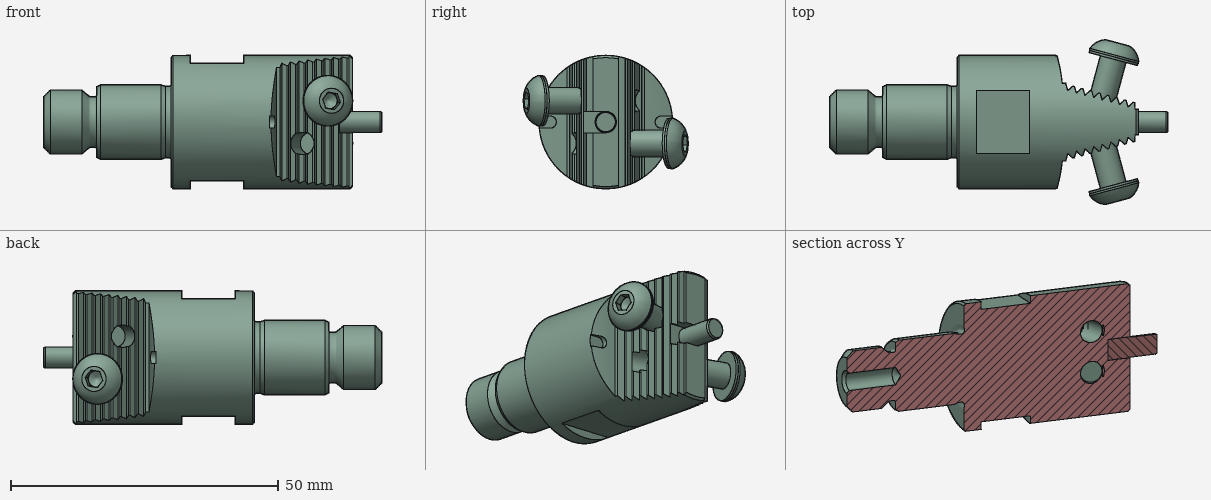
import cadquery as cq
import math

housing_radius = 25.0 / 2
housing_front = 23.85
housing_end = 57.8
front_chamfer = 0.4
end_chamfer = 0.45

nose_radius = 6.0
nose_chamfer = 1.25
nose_end = 7.15

groove_radius = 4.75
groove_floor_end = 9.55
groove_cone_angle = math.radians(40)
groove_cone_fillet = 0.6
groove_wall_fillet = 0.4

shank_radius = 14.0 / 2
shank_start = groove_floor_end + groove_wall_fillet
shank_chamfer_length = 0.75
shank_chamfer_depth = 0.4

relief_start = 21.95
relief_floor_start = 22.8
relief_floor_end = 23.4
relief_radius = 6.7
relief_corner_radius = 7.35
relief_rim_radius = 8.15
relief_face_depth = 0.1

bore_radius = 1.65
bore_mouth_radius = 2.2
bore_depth = 10.0
drill_tip_half_angle = math.radians(59)

flat_start = 27.5
flat_length = 9.95
flat_height = 11.0

taper = math.radians(15)
step_rim_x = 42.55
step_middle_x = 43.2
step_middle_y = 9.8
step_foot_x = 43.55
step_foot_y = 7.3
ledge_end = 44.2
rack_start_x = 44.55
rack_start_y = 5.9
rack_length = 13.35
tooth_count = 8
tooth_depth = 1.1
tooth_tip_width = 0.3
tail_start = 57.15
tail_y = 2.4

notch_radius = 1.15
notch_floor_x = 42.3
notch_centre_y = 10.4

pin_radius = 4.0 / 2
pin_start = 53.3
pin_end = 63.3
pin_chamfer_length = 0.4
pin_chamfer_depth = 0.2

pin_slot_start = 55.3

screw_turns = (0, 180)
seat_x = 53.05
seat_y = 11.8
screw_z = 4.0
screw_radius = 5.0 / 2
screw_length = 12.0
tapped_hole_radius = 2.1
washer_radius = 4.7
washer_thickness = 0.45
head_radius = 4.75
head_height = 2.7
head_lip = 0.4
head_top_radius = 2.35
dome_middle_radius = 3.85
dome_middle_height = 1.8
socket_corner_diameter = 3.5
socket_depth = 1.6
socket_turn = 10


def turned(outline):
    """Solid of revolution about X from an outline in the XY plane."""
    return outline.close().revolve(360, (0, 0, 0), (1, 0, 0))


def housing_blank():
    fillet_length = groove_cone_fillet * math.sin(groove_cone_angle)
    fillet_height = groove_cone_fillet * (1 - math.cos(groove_cone_angle))
    cone_foot_radius = groove_radius + fillet_height
    cone_length = (nose_radius - cone_foot_radius) / math.tan(groove_cone_angle)
    cone_end = nose_end + cone_length

    outline = (
        cq.Workplane("XY")
        .moveTo(0, 0)
        .lineTo(0, nose_radius - nose_chamfer)
        .lineTo(nose_chamfer, nose_radius)
        .lineTo(nose_end, nose_radius)
        .lineTo(cone_end, cone_foot_radius)
        .tangentArcPoint((cone_end + fillet_length, groove_radius), relative=False)
        .lineTo(groove_floor_end, groove_radius)
        .tangentArcPoint((shank_start, groove_radius + groove_wall_fillet), relative=False)
        .lineTo(shank_start, shank_radius - shank_chamfer_depth)
        .lineTo(shank_start + shank_chamfer_length, shank_radius)
        .lineTo(relief_start, shank_radius)
        .lineTo(relief_floor_start, relief_radius)
        .lineTo(relief_floor_end, relief_radius)
        .tangentArcPoint((housing_front + relief_face_depth, relief_corner_radius), relative=False)
        .lineTo(housing_front, relief_rim_radius)
        .lineTo(housing_front, housing_radius - front_chamfer)
        .lineTo(housing_front + front_chamfer, housing_radius)
        .lineTo(housing_end - end_chamfer, housing_radius)
        .lineTo(housing_end, housing_radius - end_chamfer)
        .lineTo(housing_end, 0)
    )
    return turned(outline)


def centre_bore():
    mouth_depth = bore_mouth_radius - bore_radius
    tip_length = bore_radius / math.tan(drill_tip_half_angle)
    outline = (
        cq.Workplane("XY")
        .moveTo(0, 0)
        .lineTo(0, bore_mouth_radius)
        .lineTo(mouth_depth, bore_radius)
        .lineTo(bore_depth, bore_radius)
        .lineTo(bore_depth + tip_length, 0)
    )
    return turned(outline)


def spanner_flat(side):
    """Material above one flat; side is +1 for +Z and -1 for -Z."""
    block = cq.Workplane("XY").box(flat_length, 2 * housing_radius, housing_radius)
    centre_x = flat_start + flat_length / 2
    centre_z = side * (flat_height + housing_radius / 2)
    return block.translate((centre_x, 0, centre_z))


def rack_point(along, height):
    """Point at a distance along the tooth roots and a height square to them."""
    return (
        rack_start_x + along * math.cos(taper) + height * math.sin(taper),
        rack_start_y - along * math.sin(taper) + height * math.cos(taper),
    )


def toothed_taper_cut():
    """Material outside the toothed taper on the +Y side."""
    pitch = rack_length / tooth_count
    flank_length = (pitch - tooth_tip_width) / 2
    rack_points = []
    for tooth in range(tooth_count):
        root = tooth * pitch
        rack_points += [
            rack_point(root, 0),
            rack_point(root + flank_length, tooth_depth),
            rack_point(root + flank_length + tooth_tip_width, tooth_depth),
        ]
    rack_points += [(tail_start, tail_y), (pin_end, tail_y)]

    outline = (
        cq.Workplane("XY")
        .moveTo(pin_end, 2 * housing_radius)
        .lineTo(step_rim_x, 2 * housing_radius)
        .lineTo(step_rim_x, housing_radius)
        .threePointArc((step_middle_x, step_middle_y), (step_foot_x, step_foot_y))
        .lineTo(ledge_end, step_foot_y)
    )
    for point in rack_points:
        outline = outline.lineTo(*point)
    return outline.close().extrude(housing_radius, both=True)


def step_notch():
    """Round-bottomed notch, open to the rim, in the +Y step."""
    length = step_foot_x - notch_floor_x
    plane = cq.Workplane("YZ", origin=(notch_floor_x, 0, 0))
    round_bottom = plane.center(notch_centre_y, 0).circle(notch_radius).extrude(length)
    opening = plane.center(notch_centre_y + notch_radius, 0).rect(
        2 * notch_radius, 2 * notch_radius
    ).extrude(length)
    return round_bottom.union(opening)


def on_screw_axis(body, turn):
    """Move a body built along Z onto the -Y screw axis, then turn it about X."""
    axis = cq.Plane(
        origin=(seat_x, -seat_y, screw_z),
        xDir=(math.cos(taper), math.sin(taper), 0),
        normal=(math.sin(taper), -math.cos(taper), 0),
    )
    placed = cq.Workplane(obj=body.val().located(cq.Location(axis)))
    return placed.rotate((0, 0, 0), (1, 0, 0), turn)


def screw_hole(turn):
    """Hole filled by the screw, carried on at tapped size through the far side."""
    tip = washer_thickness - screw_length
    threaded = cq.Workplane("XY").circle(screw_radius).extrude(tip)
    beyond_tip = cq.Workplane("XY", origin=(0, 0, tip)).circle(tapped_hole_radius).extrude(-screw_length)
    return on_screw_axis(threaded.union(beyond_tip), turn)


def pin_slot():
    return cq.Workplane("XY").box(
        pin_end - pin_slot_start, housing_radius, 2 * pin_radius, centered=(False, False, True)
    ).translate((pin_slot_start, -housing_radius, 0))


def make_housing():
    body = housing_blank().cut(centre_bore())
    for side in (1, -1):
        body = body.cut(spanner_flat(side))
    for cutter in (toothed_taper_cut(), step_notch()):
        body = body.cut(cutter).cut(cutter.mirror("XZ"))
    for turn in screw_turns:
        body = body.cut(screw_hole(turn))
    pin_hole = cq.Workplane("YZ", origin=(pin_start, 0, 0)).circle(pin_radius).extrude(pin_end - pin_start)
    return body.cut(pin_hole).cut(pin_slot())


def make_end_pin():
    outline = (
        cq.Workplane("XY")
        .moveTo(pin_start, 0)
        .lineTo(pin_start, pin_radius)
        .lineTo(pin_end - pin_chamfer_length, pin_radius)
        .lineTo(pin_end, pin_radius - pin_chamfer_depth)
        .lineTo(pin_end, 0)
    )
    return turned(outline)


def make_washer(turn):
    washer = cq.Workplane("XY").circle(washer_radius).circle(screw_radius).extrude(washer_thickness)
    return on_screw_axis(washer, turn)


def make_screw(turn):
    """Button-head screw with a hexagon socket; its head rests on the washer."""
    body = (
        cq.Workplane("XZ")
        .moveTo(0, -screw_length)
        .lineTo(screw_radius, -screw_length)
        .lineTo(screw_radius, 0)
        .lineTo(head_radius, 0)
        .lineTo(head_radius, head_lip)
        .threePointArc((dome_middle_radius, dome_middle_height), (head_top_radius, head_height))
        .lineTo(0, head_height)
        .close()
        .revolve(360, (0, 0, 0), (0, 1, 0))
    )
    socket_floor = head_height - socket_depth
    socket = (
        cq.Workplane("XY", origin=(0, 0, socket_floor))
        .polygon(6, socket_corner_diameter)
        .extrude(socket_depth)
        .rotate((0, 0, 0), (0, 0, 1), -socket_turn)
    )
    tip_radius = socket_corner_diameter / 2 * math.cos(math.pi / 6)
    tip = cq.Workplane(
        obj=cq.Solid.makeCone(
            tip_radius, 0, tip_radius / math.tan(drill_tip_half_angle),
            pnt=cq.Vector(0, 0, socket_floor), dir=cq.Vector(0, 0, -1),
        )
    )
    body = body.cut(socket).cut(tip).translate((0, 0, washer_thickness))
    return on_screw_axis(body, turn)


housing = make_housing()
end_pin = make_end_pin()
screws = [make_screw(turn) for turn in screw_turns]
washers = [make_washer(turn) for turn in screw_turns]

result = cq.Compound.makeCompound(
    [housing.val(), end_pin.val()]
    + [screw.val() for screw in screws]
    + [washer.val() for washer in washers]
)